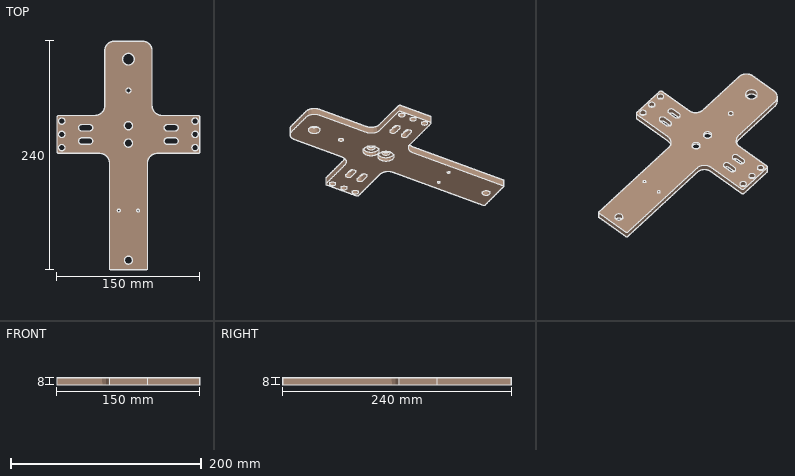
import cadquery as cq

total_length = 240.0
thickness = 8.0
arm_span = 150.0
arm_width = 40.0
head_width = 50.0
tail_width = 40.0
head_end = 98.0
tail_end = head_end - total_length

inner_radius = 10.0
head_corner_radius = 10.0
arm_corner_radius = 2.0
tail_corner_radius = 1.0

head_hole_diameter = 12.0
head_hole_y = head_end - 19.0
pin_hole_diameter = 5.0
pin_hole_y = 46.0
tail_hole_diameter = 8.2
hub_hole_diameter = 8.5
hub_hole_offset = 9.0
hub_bore_diameter = 17.0
hub_bore_depth = 4.5
tail_hole_y = tail_end + 10.0

small_hole_diameter = 3.0
small_hole_spacing = 20.2
small_hole_y = -80.0

arm_hole_diameter = 6.5
arm_hole_x = arm_span / 2 - 5.0
arm_hole_pitch = 14.0
slot_length = 14.6
slot_width = arm_hole_diameter
slot_x = 45.0
slot_pitch = arm_hole_pitch


def bar(width, y_low, y_high):
    """Rectangular bar centred on X between two Y positions."""
    return (
        cq.Workplane("XY")
        .rect(width, y_high - y_low)
        .extrude(thickness)
        .translate((0, (y_low + y_high) / 2, 0))
    )


def round_corners(body, x, y, radius):
    """Round the vertical edges at (-x, y) and (x, y)."""
    for corner_x in (-x, x):
        body = body.edges(cq.selectors.NearestToPointSelector((corner_x, y, thickness / 2))).fillet(radius)
    return body


def drill(body, diameter, points, depth=thickness):
    """Cut round holes upward from the bottom face, right through unless a depth is given."""
    cutters = cq.Workplane("XY").pushPoints(points).circle(diameter / 2).extrude(depth)
    return body.cut(cutters)


arms = bar(arm_span, -arm_width / 2, arm_width / 2)
head = bar(head_width, 0, head_end)
tail = bar(tail_width, tail_end, 0)
plate = arms.union(head).union(tail).clean()

plate = round_corners(plate, head_width / 2, head_end, head_corner_radius)
plate = round_corners(plate, head_width / 2, arm_width / 2, inner_radius)
plate = round_corners(plate, tail_width / 2, -arm_width / 2, inner_radius)
plate = round_corners(plate, tail_width / 2, tail_end, tail_corner_radius)
for arm_edge_y in (-arm_width / 2, arm_width / 2):
    plate = round_corners(plate, arm_span / 2, arm_edge_y, arm_corner_radius)

plate = drill(plate, head_hole_diameter, [(0, head_hole_y)])
plate = drill(plate, pin_hole_diameter, [(0, pin_hole_y)])
plate = drill(plate, tail_hole_diameter, [(0, tail_hole_y)])

hub_points = [(0, side * hub_hole_offset) for side in (-1, 1)]
plate = drill(plate, hub_hole_diameter, hub_points)
plate = drill(plate, hub_bore_diameter, hub_points, hub_bore_depth)

small_hole_points = [(side * small_hole_spacing / 2, small_hole_y) for side in (-1, 1)]
plate = drill(plate, small_hole_diameter, small_hole_points)

arm_hole_points = [(side * arm_hole_x, row * arm_hole_pitch) for side in (-1, 1) for row in (-1, 0, 1)]
plate = drill(plate, arm_hole_diameter, arm_hole_points)

slot_points = [(side * slot_x, row * slot_pitch / 2) for side in (-1, 1) for row in (-1, 1)]
slots = cq.Workplane("XY").pushPoints(slot_points).slot2D(slot_length, slot_width).extrude(thickness)
result = plate.cut(slots)